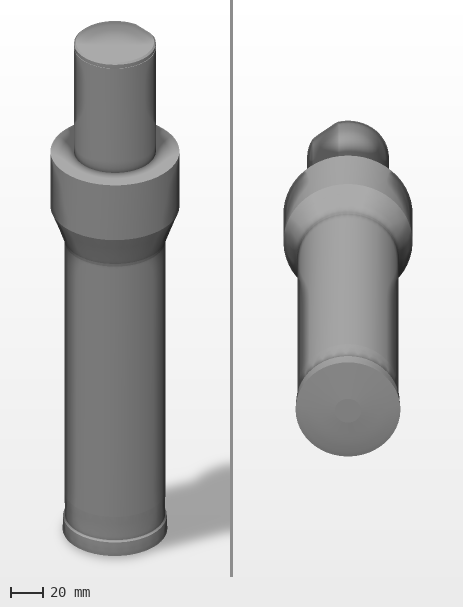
import cadquery as cq

total_height = 357.0
head_top = 277.0
head_bottom = 237.0
neck_top = 214.5
neck_bottom = 212.5
waist_top = 29.5
waist_bottom = 12.5
foot_top = 11.5
foot_bottom = 1.8

head_radius = 80.0 / 2
barrel_radius = 63.0 / 2
neck_radius = 63.5 / 2
waist_radius = 62.0 / 2
foot_top_radius = 64.3 / 2
tip_radius = 16.5 / 2
foot_radius = 65.0 / 2
rod_radius = 50.7 / 2

rod_chamfer = 1.0
ring_groove_depth = 0.5
ring_groove_top = 355.0
ring_groove_bottom = 353.0
flat_distance = 23.2
flat_bottom = head_top + 4.3
rod_bottom = neck_top


def make_rod():
    """Round rod with a chamfered top, a shallow ring groove and a flat along its +Y side."""
    rod = (
        cq.Workplane("XZ")
        .moveTo(0, rod_bottom)
        .lineTo(rod_radius, rod_bottom)
        .lineTo(rod_radius, ring_groove_bottom)
        .lineTo(rod_radius - ring_groove_depth, ring_groove_bottom)
        .lineTo(rod_radius - ring_groove_depth, ring_groove_top)
        .lineTo(rod_radius, ring_groove_top)
        .lineTo(rod_radius, total_height - rod_chamfer)
        .lineTo(rod_radius - rod_chamfer, total_height)
        .lineTo(0, total_height)
        .close()
        .revolve(360, (0, 0), (0, 1))
    )
    flat_height = total_height - flat_bottom
    flat_cutter = (
        cq.Workplane("XY")
        .box(2 * rod_radius, rod_radius, flat_height, centered=(True, False, False))
        .translate((0, flat_distance, flat_bottom))
    )
    return rod.cut(flat_cutter)


def make_housing():
    """Barrel with a wide head, a slightly waisted lower end, a coned foot and a bore for the rod."""
    return (
        cq.Workplane("XZ")
        .moveTo(0, 0)
        .lineTo(tip_radius, 0)
        .lineTo(foot_radius, foot_bottom)
        .lineTo(foot_top_radius, foot_top)
        .lineTo(waist_radius, waist_bottom)
        .lineTo(barrel_radius, waist_top)
        .lineTo(barrel_radius, neck_bottom)
        .lineTo(neck_radius, neck_top)
        .lineTo(head_radius, head_bottom)
        .lineTo(head_radius, head_top)
        .lineTo(rod_radius, head_top)
        .lineTo(rod_radius, rod_bottom)
        .lineTo(0, rod_bottom)
        .close()
        .revolve(360, (0, 0), (0, 1))
    )


rod = make_rod()
housing = make_housing()

result = cq.Compound.makeCompound([housing.val(), rod.val()])